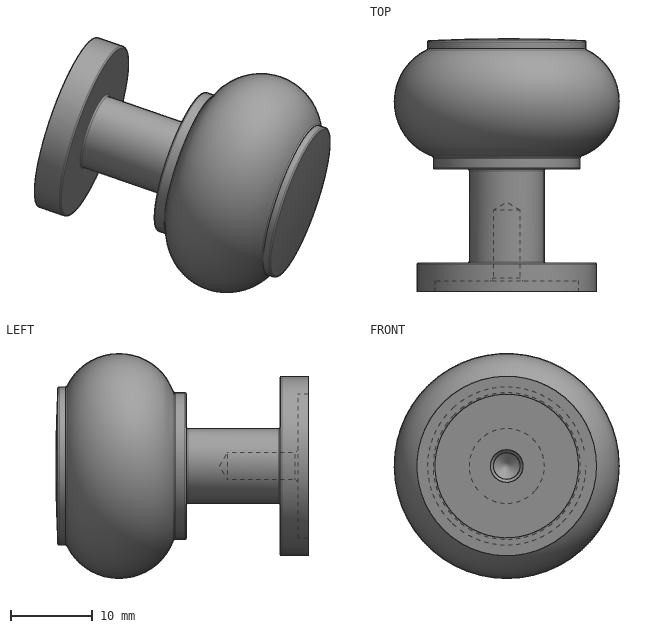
import cadquery as cq
import math

total_length = 31.0
edge_radius = 0.2

base_diameter = 22.0
base_thickness = 3.5
recess_diameter = 17.6
recess_depth = 1.3

stem_diameter = 9.2
collar_diameter = 18.0
collar_y = 15.0

bulb_diameter = 27.6
bulb_arc_radius = 7.1
bulb_center_y = 23.25

cap_diameter = 19.4
dome_height = 0.25

hole_diameter = 3.25
hole_depth = 8.68
countersink_diameter = 4.0
drill_point_angle = 118.0

bulb_center_radius = bulb_diameter / 2 - bulb_arc_radius


def bulb_half_width(radius):
    """Axial distance from the bulb centre to its surface at a given radius."""
    return math.sqrt(bulb_arc_radius**2 - (radius - bulb_center_radius) ** 2)


bulb_start_y = bulb_center_y - bulb_half_width(collar_diameter / 2)
bulb_end_y = bulb_center_y + bulb_half_width(cap_diameter / 2)
cap_rim_y = total_length - dome_height


def revolve_profile(profile):
    """Turn a closed (radius, y) profile about the Y axis."""
    return profile.close().revolve(360, (0, 0, 0), (0, 1, 0))


def make_body():
    cap_radius = cap_diameter / 2
    dome_radius = (cap_radius**2 + dome_height**2) / (2 * dome_height)
    dome_mid_drop = dome_radius - math.sqrt(dome_radius**2 - (cap_radius / 2) ** 2)
    profile = (
        cq.Workplane("XY")
        .lineTo(base_diameter / 2, 0)
        .lineTo(base_diameter / 2, base_thickness)
        .lineTo(stem_diameter / 2, base_thickness)
        .lineTo(stem_diameter / 2, collar_y)
        .lineTo(collar_diameter / 2, collar_y)
        .lineTo(collar_diameter / 2, bulb_start_y)
        .threePointArc((bulb_diameter / 2, bulb_center_y), (cap_radius, bulb_end_y))
        .lineTo(cap_radius, cap_rim_y)
        .threePointArc((cap_radius / 2, total_length - dome_mid_drop), (0, total_length))
    )
    return revolve_profile(profile)


def round_edges(body):
    """Round the steps and corners; only the mounting face stays sharp."""
    half_band = 0.003
    for y in (base_thickness, collar_y, bulb_start_y, bulb_end_y, cap_rim_y):
        band = cq.selectors.BoxSelector((-0.3, y - half_band, -0.3), (0.3, y + half_band, 0.3))
        body = body.edges("%CIRCLE").edges(band).fillet(edge_radius)
    return body


def make_recess():
    return revolve_profile(
        cq.Workplane("XY")
        .lineTo(recess_diameter / 2, 0)
        .lineTo(recess_diameter / 2, recess_depth)
        .lineTo(0, recess_depth)
    )


def make_screw_hole():
    hole_radius = hole_diameter / 2
    countersink_radius = countersink_diameter / 2
    countersink_depth = countersink_radius - hole_radius
    point_length = hole_radius / math.tan(math.radians(drill_point_angle / 2))
    hole_end_y = recess_depth + hole_depth
    return revolve_profile(
        cq.Workplane("XY")
        .moveTo(0, recess_depth)
        .lineTo(countersink_radius, recess_depth)
        .lineTo(hole_radius, recess_depth + countersink_depth)
        .lineTo(hole_radius, hole_end_y)
        .lineTo(0, hole_end_y + point_length)
    )


knob = round_edges(make_body()).cut(make_recess()).cut(make_screw_hole())

result = knob.translate((0, -total_length / 2, 0))